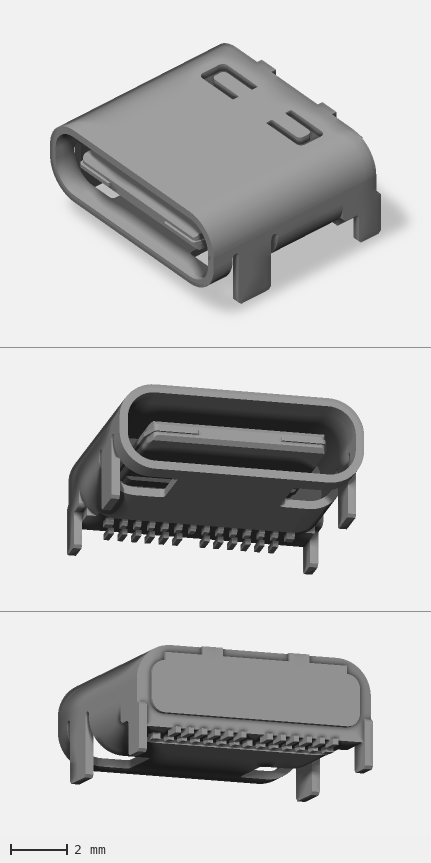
import cadquery as cq


WIDTH = 8.94
HALF_WIDTH = WIDTH / 2
SHELL_HEIGHT = 3.165
SHELL_LENGTH = 7.59
WALL = 0.3
CORNER_RADIUS = 1.305
MID_HEIGHT = SHELL_HEIGHT / 2
INNER_HALF_WIDTH = HALF_WIDTH - WALL
FLOOR_END = 5.65
LOWER_CORNER_END = 6.04
REAR_FACE = 7.805
OVERLAP = 0.09

LEG_DROP = 0.8
LEG_CORNER = 0.11
FRONT_LEG_START = 1.17
FRONT_LEG_END = 2.67
REAR_LEG_START = 6.78
REAR_LEG_SHOULDER = 0.91
REAR_LEG_BEVEL = 0.14
REAR_ARCH_HEIGHT = 0.5
REAR_ARCH_RADIUS = 0.14
REAR_ARCH_RUNOUT = 0.2
REAR_ARCH_RISE = 0.12
REAR_ARCH_SAG = 0.03

OPENING_START = 0.885
OPENING_END = 2.995
OPENING_TOP = 1.54
SLOT_ROUNDING = 0.49
OPENING_INNER_X = 2.1
OPENING_CORNER_RADIUS = 0.16

SLOT_START = 5.48
SLOT_END = 6.66
SLOT_INNER_X = 0.9
SLOT_OUTER_X = 2.79
SPRING_START = 5.77
SPRING_END = 6.365
SPRING_TIP_X = 2.405
SLOT_OUTER_RADIUS = 0.22
SPRING_TIP_RADIUS = 0.2
SLOT_END_RADIUS = 0.045

TAB_INNER_X = 1.27
TAB_OUTER_X = 2.04

HOUSING_FRONT = 5.1
BASE_BOTTOM = 0.18
PLUG_HALF_WIDTH = 3.97
PLUG_BOTTOM = 0.67
PLUG_TOP = 2.57
PLUG_RADIUS = 0.5

TONGUE_REAR = HOUSING_FRONT + OVERLAP
TONGUE_FRONT = 0.295
TONGUE_HALF_WIDTH = 3.23
TONGUE_TIP_HALF_WIDTH = 3.1
TONGUE_THICKNESS = 0.715
TONGUE_FRONT_CHAMFER = 0.16
TONGUE_SIDE_RADIUS = 0.1
TONGUE_CORNER_RADIUS = 0.19
TAPER_END = 0.965
PLATE_FRONT = 0.2
PLATE_HALF_WIDTH = 3.335
PLATE_TIP_HALF_WIDTH = 3.11
PLATE_THICKNESS = 0.15
PLATE_CORNER_RADIUS = 0.15
PLATE_GAP_HALF_WIDTH = 1.5
PLATE_TIP_ROUNDING = 0.08
ROOT_FRONT = 4.47
ROOT_HALF_WIDTH = 3.12
ROOT_THICKNESS = 1.0
ROOT_CORNER_RADIUS = 0.22

CONTACT_PITCH = 0.5
CONTACT_WIDTH = 0.2
CONTACTS_PER_SIDE = 6
CONTACT_BOTTOM = -0.045
REAR_CONTACT_START = 7.15
REAR_CONTACT_END = 7.9
FOOT_START = 6.1
FOOT_END = 6.58
FOOT_CHAMFER = 0.11
PEG_INNER_X = 3.165
PEG_OUTER_X = 3.45


def block(x_range, y_range, z_range):
    """Box spanning the three given (low, high) ranges."""
    sizes = [high - low for low, high in (x_range, y_range, z_range)]
    return cq.Workplane("XY").box(*sizes, centered=False).translate((x_range[0], y_range[0], z_range[0]))


def both_sides(body):
    """The body together with its mirror image about the YZ plane."""
    return body.union(body.mirror("YZ"))


def rounded_bar(half_width, bottom, top, radius, start, end):
    """Bar along Y with a rounded rectangular section."""
    bar = block((-half_width, half_width), (start, end), (bottom, top))
    return bar.edges("|Y").fillet(radius)


def make_cavity(start, end):
    """Bar that fills the inside of the shell tube."""
    return rounded_bar(
        INNER_HALF_WIDTH, WALL, SHELL_HEIGHT - WALL, CORNER_RADIUS - WALL, start, end
    )


def make_tube():
    """Rolled tube of the shell, open along its underside at the rear."""
    outer = rounded_bar(HALF_WIDTH, 0, SHELL_HEIGHT, CORNER_RADIUS, 0, SHELL_LENGTH)
    tube = outer.cut(make_cavity(-OVERLAP, SHELL_LENGTH + OVERLAP))
    full_width = (-HALF_WIDTH, HALF_WIDTH)
    rear_underside = block(full_width, (LOWER_CORNER_END, SHELL_LENGTH), (0, CORNER_RADIUS))
    floor_end = block(full_width, (FLOOR_END, LOWER_CORNER_END), (0, BASE_BOTTOM))
    return tube.cut(rear_underside).cut(floor_end)


def make_leg_opening():
    """Cutter for the floor and side wall around one front leg (-X side)."""
    floor_cut = block(
        (-HALF_WIDTH - OVERLAP, -OPENING_INNER_X), (OPENING_START, OPENING_END), (-OVERLAP, CORNER_RADIUS)
    )
    floor_cut = floor_cut.edges("|Z and >X").fillet(OPENING_CORNER_RADIUS)
    for start, end in ((OPENING_START, FRONT_LEG_START), (FRONT_LEG_END, OPENING_END)):
        slot = block((-HALF_WIDTH - OVERLAP, -INNER_HALF_WIDTH + OVERLAP), (start, end), (0, OPENING_TOP))
        slot = slot.edges("|X and >Z").fillet(SLOT_ROUNDING * (end - start))
        floor_cut = floor_cut.union(slot)
    return floor_cut


def make_front_leg():
    leg = block(
        (-HALF_WIDTH, -INNER_HALF_WIDTH), (FRONT_LEG_START, FRONT_LEG_END), (-LEG_DROP, OPENING_TOP)
    )
    return leg.edges("|X and <Z").chamfer(LEG_CORNER)


def make_rear_leg():
    """Rear leg with the flat strip of side wall above it (-X side)."""
    arch_end = REAR_LEG_START - REAR_ARCH_RADIUS
    runout_end = LOWER_CORNER_END + REAR_ARCH_RUNOUT
    outline = (
        cq.Workplane("YZ", origin=(-HALF_WIDTH, 0, 0))
        .moveTo(SHELL_LENGTH, CORNER_RADIUS)
        .lineTo(LOWER_CORNER_END, CORNER_RADIUS)
        .lineTo(LOWER_CORNER_END, REAR_ARCH_HEIGHT + REAR_ARCH_RISE)
        .sagittaArc((runout_end, REAR_ARCH_HEIGHT), -REAR_ARCH_SAG)
        .lineTo(arch_end, REAR_ARCH_HEIGHT)
        .tangentArcPoint((REAR_LEG_START, REAR_ARCH_HEIGHT - REAR_ARCH_RADIUS), relative=False)
        .lineTo(REAR_LEG_START, LEG_CORNER - LEG_DROP)
        .lineTo(REAR_LEG_START + LEG_CORNER, -LEG_DROP)
        .lineTo(REAR_FACE - LEG_CORNER, -LEG_DROP)
        .lineTo(REAR_FACE, LEG_CORNER - LEG_DROP)
        .lineTo(REAR_FACE, REAR_LEG_SHOULDER)
        .lineTo(SHELL_LENGTH, REAR_LEG_SHOULDER + REAR_LEG_BEVEL)
        .close()
    )
    return outline.extrude(WALL)


def make_spring_slot():
    """U-shaped cutter that frees one spring tongue in the roof (-X side)."""
    depth = (SHELL_HEIGHT - WALL, SHELL_HEIGHT)
    surround = block((-SLOT_OUTER_X, -SLOT_INNER_X), (SLOT_START, SLOT_END), depth)
    surround = surround.edges("|Z and <X").fillet(SLOT_OUTER_RADIUS)
    spring = block((-SPRING_TIP_X, -SLOT_INNER_X), (SPRING_START, SPRING_END), depth)
    spring = spring.edges("|Z and <X").fillet(SPRING_TIP_RADIUS)
    return surround.cut(spring).edges("|Z and >X").fillet(SLOT_END_RADIUS)


def make_shell():
    tab = block(
        (-TAB_OUTER_X, -TAB_INNER_X), (SHELL_LENGTH, REAR_FACE), (SHELL_HEIGHT - WALL, SHELL_HEIGHT)
    )
    shell = make_tube()
    shell = shell.cut(both_sides(make_leg_opening()))
    shell = shell.cut(both_sides(make_spring_slot()))
    for added in (make_front_leg(), make_rear_leg(), tab):
        shell = shell.union(both_sides(added))
    return shell


def make_housing():
    """Insulator that fills the rear of the shell and stands out as a plug behind it."""
    body = make_cavity(HOUSING_FRONT, SHELL_LENGTH)
    base = block(
        (-INNER_HALF_WIDTH, INNER_HALF_WIDTH), (LOWER_CORNER_END, SHELL_LENGTH), (BASE_BOTTOM, CORNER_RADIUS)
    )
    plug = rounded_bar(
        PLUG_HALF_WIDTH, PLUG_BOTTOM, PLUG_TOP, PLUG_RADIUS, SHELL_LENGTH - OVERLAP, REAR_FACE
    )
    ridge_half_width = PLUG_HALF_WIDTH - PLUG_RADIUS
    ridge = block(
        (-ridge_half_width, ridge_half_width),
        (SHELL_LENGTH - OVERLAP, REAR_FACE),
        (MID_HEIGHT, SHELL_HEIGHT - WALL),
    )
    return body.union(base).union(plug).union(ridge)


def tongue_layer(half_width, front, rear, thickness):
    """Box centred on the mid height of the shell."""
    half = thickness / 2
    return block((-half_width, half_width), (front, rear), (MID_HEIGHT - half, MID_HEIGHT + half))


def tapered_layer(half_width, tip_half_width, front, corner_radius, thickness):
    """Flat layer of the tongue, narrower at its round-cornered tip."""
    outline = [
        (tip_half_width, front),
        (half_width, TAPER_END),
        (half_width, TONGUE_REAR),
    ]
    mirrored = [(-x, y) for x, y in reversed(outline)]
    layer = cq.Workplane("XY", origin=(0, 0, MID_HEIGHT)).polyline(outline + mirrored).close()
    layer = layer.extrude(thickness / 2, both=True)
    return layer.edges("|Z and <Y").fillet(corner_radius)


def make_blade():
    """Tongue body: the common part of its cross-section, side profile and plan."""
    size = (TONGUE_HALF_WIDTH, TONGUE_FRONT, TONGUE_REAR, TONGUE_THICKNESS)
    section = tongue_layer(*size).edges("|Y").fillet(TONGUE_SIDE_RADIUS)
    nose = tongue_layer(*size).edges("|X and <Y").chamfer(TONGUE_FRONT_CHAMFER)
    plan = tapered_layer(
        TONGUE_HALF_WIDTH, TONGUE_TIP_HALF_WIDTH, TONGUE_FRONT,
        TONGUE_CORNER_RADIUS, TONGUE_THICKNESS,
    )
    return section.intersect(nose).intersect(plan)


def make_plate():
    """Thin mid plate whose rounded tips stand proud of the blade front."""
    plate = tapered_layer(
        PLATE_HALF_WIDTH, PLATE_TIP_HALF_WIDTH, PLATE_FRONT,
        PLATE_CORNER_RADIUS, PLATE_THICKNESS,
    )
    notch = tongue_layer(PLATE_GAP_HALF_WIDTH, PLATE_FRONT, TONGUE_FRONT, PLATE_THICKNESS)
    plate = plate.cut(notch)
    for side in (-1, 1):
        gap_corner = (side * PLATE_GAP_HALF_WIDTH, PLATE_FRONT, MID_HEIGHT)
        plate = plate.edges(cq.NearestToPointSelector(gap_corner)).fillet(PLATE_TIP_ROUNDING)
    return plate


def make_tongue():
    root = tongue_layer(ROOT_HALF_WIDTH, ROOT_FRONT, TONGUE_REAR, ROOT_THICKNESS)
    root = root.edges("|Y").fillet(ROOT_CORNER_RADIUS)
    return make_blade().union(make_plate()).union(root)


def make_foot(inner_x, outer_x):
    """Foot below the housing base, bevelled along its lower front edge (-X side)."""
    foot = block((-outer_x, -inner_x), (FOOT_START, FOOT_END), (CONTACT_BOTTOM, BASE_BOTTOM + OVERLAP))
    return foot.edges("|X and <Y and <Z").chamfer(FOOT_CHAMFER)


def make_contacts():
    """Two staggered rows of contact tails and the wider pegs outside them."""
    tails = make_foot(PEG_INNER_X, PEG_OUTER_X)
    half = CONTACT_WIDTH / 2
    for index in range(CONTACTS_PER_SIDE):
        rear_x = (index + 1) * CONTACT_PITCH
        front_x = (index + 0.5) * CONTACT_PITCH
        rear_tail = block(
            (-rear_x - half, -rear_x + half),
            (REAR_CONTACT_START, REAR_CONTACT_END),
            (CONTACT_BOTTOM, BASE_BOTTOM),
        )
        tails = tails.union(rear_tail).union(make_foot(front_x - half, front_x + half))
    return both_sides(tails)


result = make_shell().union(make_housing()).union(make_tongue()).union(make_contacts())